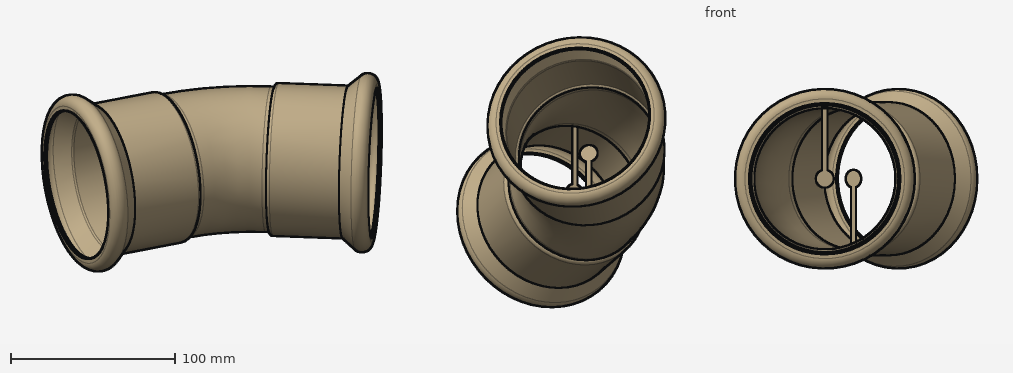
import cadquery as cq
import math


wall = 1.53
tube_outer_radius = 89.0 / 2
tube_inner_radius = tube_outer_radius - wall
bend_angle = 30.0
bend_radius = 113.8
end_length = 65.1

bore_radius = 89.5 / 2
socket_outer_radius = 93.5 / 2
socket_wall = socket_outer_radius - bore_radius
shoulder_depth = 62.7
shoulder_round = socket_outer_radius - tube_outer_radius
stop_depth = shoulder_depth - socket_wall
stop_face_radius = 88.0 / 2
stop_round = bore_radius - stop_face_radius

rim_radius = 54.8
bead_radius = 6.1
bead_center_radius = rim_radius - bead_radius
flare_depth = 18.0
flare_angle = 39.0
mouth_radius = 91.0 / 2
lip_bevel = 0.6
groove_radius = bead_radius - socket_wall
flare_tangent = math.tan(math.radians(flare_angle))
flare_half_tangent = math.tan(math.radians(flare_angle / 2))
groove_flare_depth = flare_depth + socket_wall * flare_half_tangent
flare_inner_round = 2.0

marker_disc_radius = 5.5
marker_strip_width = 3.5
marker_thickness = 0.2
marker_tip = stop_face_radius


def bead_point(radius, angle):
    """Point on a circle about the bead centre; the angle turns from radial towards +Y."""
    turn = math.radians(angle)
    return (bead_center_radius + radius * math.cos(turn), bead_radius + radius * math.sin(turn))


def around_axis(profile):
    return profile.close().revolve(360, (0, 0, 0), (0, 1, 0))


def make_socket():
    round_reach = flare_inner_round * flare_half_tangent
    round_start_depth = groove_flare_depth - round_reach * math.cos(math.radians(flare_angle))
    round_start_radius = bore_radius + (groove_flare_depth - round_start_depth) * flare_tangent
    shoulder_start = shoulder_depth - shoulder_round
    shoulder_offset = shoulder_round * math.sqrt(0.5)
    shoulder_middle = (tube_outer_radius + shoulder_offset, shoulder_start + shoulder_offset)
    profile = (
        cq.Workplane("XY")
        .moveTo(mouth_radius, socket_wall - lip_bevel)
        .lineTo(mouth_radius + lip_bevel, socket_wall)
        .lineTo(bead_center_radius, socket_wall)
        .threePointArc(bead_point(groove_radius, 0), bead_point(groove_radius, flare_angle))
        .lineTo(round_start_radius, round_start_depth)
        .tangentArcPoint((bore_radius, groove_flare_depth + round_reach), relative=False)
        .lineTo(bore_radius, stop_depth - stop_round)
        .tangentArcPoint((stop_face_radius, stop_depth), relative=False)
        .lineTo(tube_inner_radius, stop_depth)
        .lineTo(tube_inner_radius, end_length)
        .lineTo(tube_outer_radius, end_length)
        .lineTo(tube_outer_radius, shoulder_depth)
        .threePointArc(shoulder_middle, (socket_outer_radius, shoulder_start))
        .lineTo(socket_outer_radius, flare_depth)
        .lineTo(*bead_point(bead_radius, flare_angle))
        .threePointArc(bead_point(bead_radius, 0), (bead_center_radius, 0))
        .lineTo(mouth_radius + lip_bevel, 0)
        .lineTo(mouth_radius, lip_bevel)
    )
    return around_axis(profile)


def make_marker():
    """Thin disc on the axis, held to the stop face by a strip."""
    plane = cq.Workplane("XZ", origin=(0, stop_depth, 0))
    disc = plane.circle(marker_disc_radius).extrude(marker_thickness)
    strip = (
        plane.center(0, marker_tip / 2)
        .rect(marker_strip_width, marker_tip)
        .extrude(marker_thickness)
    )
    return disc.union(strip)


def make_bend():
    return (
        cq.Workplane("XZ", origin=(0, end_length, 0))
        .circle(tube_outer_radius)
        .circle(tube_inner_radius)
        .revolve(bend_angle, (bend_radius, 0, 0), (bend_radius, -1, 0))
    )


def at_far_end(body):
    """Turn a body from the first end over and carry it around the bend."""
    center = (bend_radius, end_length, 0)
    axis_end = (bend_radius, end_length, 1)
    flipped = body.rotate((0, end_length, 0), (1, end_length, 0), 180)
    return flipped.rotate(center, axis_end, -bend_angle)


socket = make_socket()
elbow = make_bend().union(socket).union(at_far_end(socket))

near_marker = make_marker()
markers = [near_marker, at_far_end(near_marker)]

result = cq.Compound.makeCompound([elbow.val(), *[marker.val() for marker in markers]])